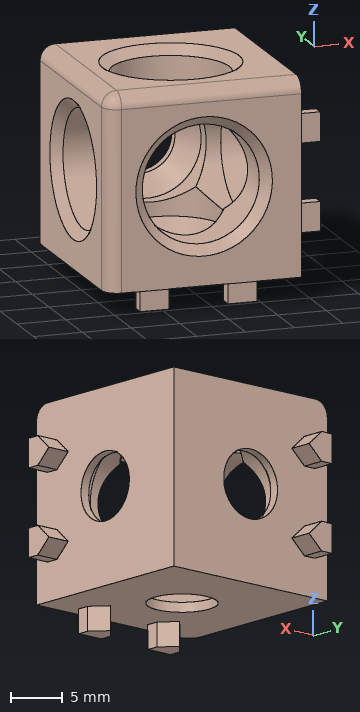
import cadquery as cq

overall_size = 22.5
body_size = 20.0
peg_length = overall_size - body_size
edge_radius = 1.55

mouth_diameter = 14.0
socket_diameter = 12.0
seat_diameter = 11.0
through_diameter = 7.0
mouth_chamfer_depth = (mouth_diameter - socket_diameter) / 2
seat_start = 7.0
seat_depth = (seat_diameter - through_diameter) / 2

peg_width = 3.0
peg_offset = 4.5
peg_outer = 1.65
peg_shoulder = 3.0
peg_tip = 4.64

centre = body_size / 2

DIRECTIONS = {"X": (1, 0, 0), "Y": (0, 1, 0), "Z": (0, 0, -1)}
BODY_CENTRE = (centre, centre, -centre)


def make_body():
    """Cube with its three outer edges and their shared corner rounded."""
    cube = cq.Workplane("XY").box(body_size, body_size, body_size).translate(BODY_CENTRE)
    corner_edges = [
        edge for edge in cube.edges().vals()
        if any(vertex.Center().Length < edge_radius / 2 for vertex in edge.Vertices())
    ]
    return cube.newObject(corner_edges).fillet(edge_radius)


def make_bore(direction):
    """Chamfered socket, seat and through hole along one axis of the body."""
    seat_place = centre + seat_start
    profile = (
        cq.Workplane("XZ")
        .moveTo(0, 0)
        .lineTo(mouth_diameter / 2, 0)
        .lineTo(socket_diameter / 2, mouth_chamfer_depth)
        .lineTo(socket_diameter / 2, centre)
        .lineTo(seat_diameter / 2, centre)
        .lineTo(seat_diameter / 2, seat_place)
        .lineTo(through_diameter / 2, seat_place + seat_depth)
        .lineTo(through_diameter / 2, body_size)
        .lineTo(0, body_size)
        .close()
    )
    bore = profile.revolve(360, (0, 0, 0), (0, 1, 0)).val()
    axis = cq.Vector(*direction)
    mouth = cq.Vector(*BODY_CENTRE) - axis * centre
    return bore.moved(cq.Location(cq.Plane(mouth, normal=axis)))


def make_pegs(direction, depth_direction):
    """Two house-shaped pegs on a far face, their ridges pointing inward from the outer side."""
    axis = cq.Vector(*direction)
    depth = cq.Vector(*depth_direction)
    origin = cq.Vector(*BODY_CENTRE) + axis * centre - depth * centre
    plane = cq.Plane(origin, xDir=depth, normal=axis)
    outline = [
        (peg_outer, -peg_width / 2),
        (peg_shoulder, -peg_width / 2),
        (peg_tip, 0),
        (peg_shoulder, peg_width / 2),
        (peg_outer, peg_width / 2),
    ]
    pegs = cq.Workplane(plane)
    for side in (-1, 1):
        shifted = [(x, y + side * peg_offset) for x, y in outline]
        pegs = pegs.polyline(shifted).close()
    return pegs.extrude(peg_length)


result = make_body()
for direction in DIRECTIONS.values():
    result = result.cut(cq.Workplane(make_bore(direction)))

for face, side in (("X", "Y"), ("Y", "X"), ("Z", "Y")):
    result = result.union(make_pegs(DIRECTIONS[face], DIRECTIONS[side]))